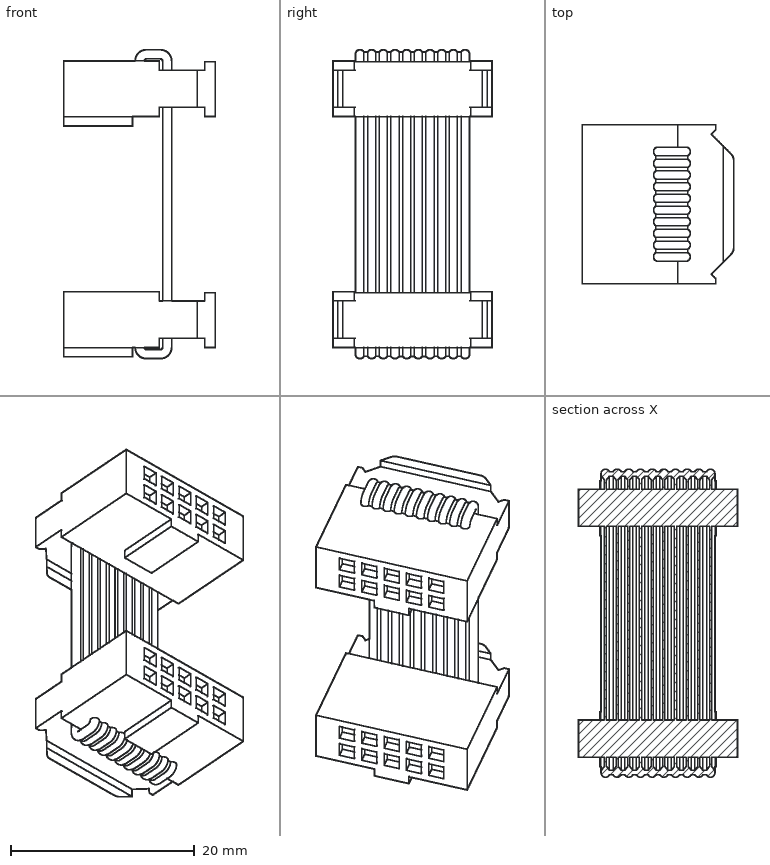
import cadquery as cq
import math

total_height = 33.6
connector_width = 17.3

wire_count = 10
cable_width = 12.43
wire_radius = 0.5
web_thickness = 0.5
bend_radius = 0.75
loop_flat_length = 1.5
cable_x = 11.25
cable_tail_depth = 0.35

housing_length = 10.4
housing_height = 6.08
loop_rise = 1.2
neck_step = 1.0
flange_start_x = 15.32
flange_end_x = 16.5
flange_top_drop = 0.1
ear_end_x = 14.55
ear_tip_width = 0.55
notch_inset = 1.05
flange_corner_radius = 1.0

key_length = 7.5
key_width = 3.95
key_height = 1.0

socket_columns = 5
socket_rows = 2
socket_pitch = 2.55
socket_size = 1.7
socket_depth = 1.0

half_width = connector_width / 2
wire_pitch = (cable_width - 2 * wire_radius) / (wire_count - 1)
lower_base_z = loop_rise
upper_base_z = total_height - loop_rise - housing_height


def make_plan_outline():
    """Housing seen from above: ears, 45 degree notches and a rounded flange nose."""
    notch_x = ear_end_x - (notch_inset - ear_tip_width)
    notch_y = half_width - notch_inset
    ear_y = half_width - ear_tip_width
    nose_y = notch_y - (flange_end_x - notch_x)
    points = [
        (0, -half_width),
        (ear_end_x, -half_width),
        (ear_end_x, -ear_y),
        (notch_x, -notch_y),
        (flange_end_x, -nose_y),
        (flange_end_x, nose_y),
        (notch_x, notch_y),
        (ear_end_x, ear_y),
        (ear_end_x, half_width),
        (0, half_width),
    ]
    block = cq.Workplane("XY").polyline(points).close().extrude(housing_height)
    return block.edges("|Z and >X").fillet(flange_corner_radius)


def make_side_profile():
    """Housing seen from the side: tall body, thinner neck and end flange."""
    neck_top = housing_height - neck_step
    flange_top = housing_height - flange_top_drop
    points = [
        (0, 0),
        (housing_length, 0),
        (housing_length, neck_step),
        (flange_start_x, neck_step),
        (flange_start_x, 0),
        (flange_end_x, 0),
        (flange_end_x, flange_top),
        (flange_start_x, flange_top),
        (flange_start_x, neck_top),
        (housing_length, neck_top),
        (housing_length, housing_height),
        (0, housing_height),
    ]
    return cq.Workplane("XZ").polyline(points).close().extrude(half_width, both=True)


def make_connector():
    """One connector with its underside at Z = 0."""
    housing = make_plan_outline().intersect(make_side_profile())
    key = cq.Workplane("XY").box(key_length, key_width, key_height, centered=(False, True, False))
    sockets = (
        cq.Workplane("YZ", origin=(0, 0, housing_height / 2))
        .rarray(socket_pitch, socket_pitch, socket_columns, socket_rows)
        .rect(socket_size, socket_size)
        .extrude(socket_depth)
    )
    return housing.union(key.translate((0, 0, -key_height))).cut(sockets)


def make_cable_section(center_x, z):
    """Ribbon cross-section: a row of round wires joined by thin webs."""
    half_web = web_thickness / 2
    web_reach = math.sqrt(wire_radius**2 - half_web**2)
    wire_ys = [(i - (wire_count - 1) / 2) * wire_pitch for i in range(wire_count)]
    first_y = wire_ys[0]
    last_y = wire_ys[-1]

    section = cq.Workplane("XY", origin=(center_x, 0, z)).moveTo(half_web, first_y + web_reach)
    for y in wire_ys[1:-1]:
        section = section.lineTo(half_web, y - web_reach)
        section = section.threePointArc((wire_radius, y), (half_web, y + web_reach))
    section = section.lineTo(half_web, last_y - web_reach)
    section = section.threePointArc((0, last_y + wire_radius), (-half_web, last_y - web_reach))
    for y in reversed(wire_ys[1:-1]):
        section = section.lineTo(-half_web, y + web_reach)
        section = section.threePointArc((-wire_radius, y), (-half_web, y - web_reach))
    section = section.lineTo(-half_web, first_y + web_reach)
    section = section.threePointArc((0, first_y - wire_radius), (half_web, first_y + web_reach))
    return section.close()


def make_cable():
    """Ribbon that leaves the upper housing, loops over, runs down and loops back into the lower one."""
    loop_right_x = cable_x - bend_radius
    loop_left_x = loop_right_x - loop_flat_length
    tail_x = loop_left_x - bend_radius
    top_z = total_height - wire_radius
    bottom_z = wire_radius
    top_bend_z = top_z - bend_radius
    bottom_bend_z = bottom_z + bend_radius
    tail_top_z = total_height - loop_rise - cable_tail_depth
    tail_bottom_z = loop_rise + cable_tail_depth
    path = (
        cq.Workplane("XZ")
        .moveTo(tail_x, tail_top_z)
        .lineTo(tail_x, top_bend_z)
        .tangentArcPoint((loop_left_x, top_z), relative=False)
        .lineTo(loop_right_x, top_z)
        .tangentArcPoint((cable_x, top_bend_z), relative=False)
        .lineTo(cable_x, bottom_bend_z)
        .tangentArcPoint((loop_right_x, bottom_z), relative=False)
        .lineTo(loop_left_x, bottom_z)
        .tangentArcPoint((tail_x, bottom_bend_z), relative=False)
        .lineTo(tail_x, tail_bottom_z)
    )
    return make_cable_section(tail_x, tail_top_z).sweep(path)


connector = make_connector()
result = make_cable()
for base_z in (lower_base_z, upper_base_z):
    result = result.union(connector.translate((0, 0, base_z)))